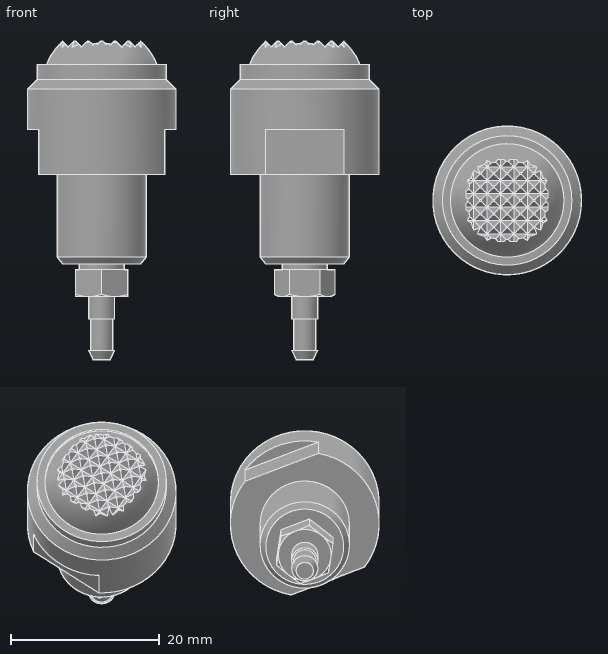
import cadquery as cq
import math

head_diameter = 20.0
head_radius = head_diameter / 2
head_bottom = 24.85
shoulder_z = 36.35
rim_radius = 8.7
rim_bottom = shoulder_z + head_radius - rim_radius
rim_top = 39.68
flat_distance = 8.47
flat_top = 30.9

barrel_radius = 6.0
barrel_bottom = 12.85
barrel_chamfer_width = 0.75
barrel_chamfer_height = 0.95

neck_radius = 3.05
hex_across_flats = 7.05
hex_bottom = 8.47
hex_top = 12.1
hex_turn = 30.0
hex_chamfer_slope = 30.0
hex_corner_radius = hex_across_flats / 2 / math.cos(math.pi / 6)
stem_radius = 1.75
stem_bottom = 5.48
hose_seat_radius = 1.5
barb_top = 1.3
barb_tip_radius = 1.15

ball_radius = 8.0
ball_center = 36.72
ball_top = 42.8
opening_radius = 7.6

groove_count = 6
groove_pitch = 1.8
groove_width = 1.55
groove_depth = groove_width / 2
groove_length = 11.0


def ball_blank():
    return cq.Workplane("XY").sphere(ball_radius).translate((0, 0, ball_center))


def turned_housing():
    """Head, barrel, neck and hose stem as one turned profile."""
    profile = [
        (0, 0),
        (barb_tip_radius, 0),
        (stem_radius, barb_top),
        (hose_seat_radius, barb_top),
        (hose_seat_radius, stem_bottom),
        (stem_radius, stem_bottom),
        (stem_radius, hex_bottom),
        (neck_radius, hex_bottom),
        (neck_radius, barrel_bottom),
        (barrel_radius - barrel_chamfer_width, barrel_bottom),
        (barrel_radius, barrel_bottom + barrel_chamfer_height),
        (barrel_radius, head_bottom),
        (head_radius, head_bottom),
        (head_radius, shoulder_z),
        (rim_radius, rim_bottom),
        (rim_radius, rim_top),
        (0, rim_top),
    ]
    return cq.Workplane("XZ").polyline(profile).close().revolve(360, (0, 0), (0, 1))


def wrench_flat(side):
    """Material removed beside one flat of the head."""
    depth = head_radius - flat_distance
    return (
        cq.Workplane("XY", origin=(side * (flat_distance + depth / 2), 0, head_bottom))
        .box(depth, 2 * head_radius, flat_top - head_bottom, centered=(True, True, False))
    )


def fitting_hex():
    """Hexagon with flats toward +X and -X and its lower corners turned off."""
    hexagon = (
        cq.Workplane("XY", origin=(0, 0, hex_bottom))
        .polygon(6, 2 * hex_corner_radius)
        .extrude(hex_top - hex_bottom)
        .rotate((0, 0, 0), (0, 0, 1), hex_turn)
    )
    face_radius = hex_across_flats / 2
    chamfer_height = (hex_corner_radius - face_radius) * math.tan(math.radians(hex_chamfer_slope))
    envelope = (
        cq.Workplane("XZ")
        .polyline([
            (0, hex_bottom),
            (face_radius, hex_bottom),
            (hex_corner_radius, hex_bottom + chamfer_height),
            (hex_corner_radius, hex_top),
            (0, hex_top),
        ])
        .close()
        .revolve(360, (0, 0), (0, 1))
    )
    return hexagon.intersect(envelope)


def v_groove(offset):
    """Cutter for one V groove along Y at the given X."""
    half_width = groove_width / 2
    return (
        cq.Workplane("XZ", origin=(offset, groove_length / 2, ball_top))
        .polyline([(-half_width, 0), (0, -groove_depth), (half_width, 0)])
        .close()
        .extrude(groove_length)
    )


def make_housing():
    housing = turned_housing().union(fitting_hex())
    for side in (-1, 1):
        housing = housing.cut(wrench_flat(side))
    socket_mouth = (
        cq.Workplane("XY", origin=(0, 0, ball_center))
        .circle(opening_radius)
        .extrude(rim_top - ball_center)
    )
    return housing.cut(socket_mouth).cut(ball_blank())


def make_ball():
    above_flat = cq.Workplane("XY", origin=(0, 0, ball_top)).box(
        2 * ball_radius, 2 * ball_radius, ball_radius, centered=(True, True, False)
    )
    ball = ball_blank().cut(above_flat)
    for index in range(groove_count):
        groove = v_groove((index - (groove_count - 1) / 2) * groove_pitch)
        ball = ball.cut(groove)
        ball = ball.cut(groove.rotate((0, 0, 0), (0, 0, 1), 90))
    return ball


housing = make_housing()
serrated_ball = make_ball()

result = cq.Compound.makeCompound([housing.val(), serrated_ball.val()])